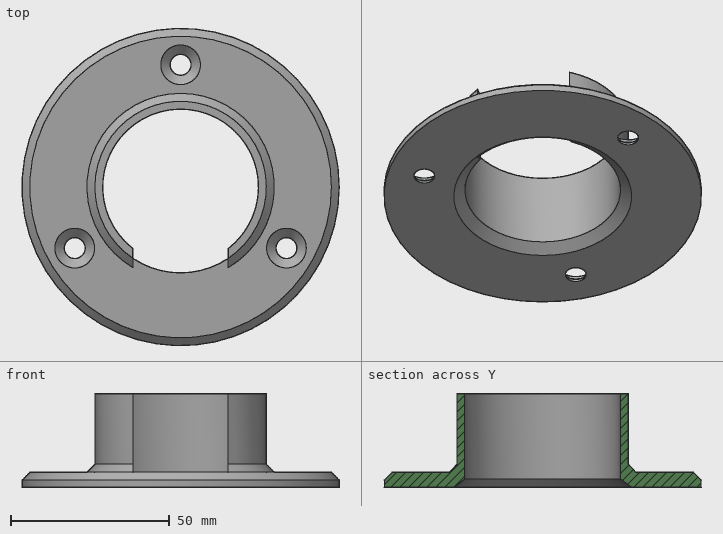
import math

import cadquery as cq

flange_diameter = 100.0
flange_thickness = 4.8
edge_chamfer = 2.5

tube_outer_diameter = 54.0
tube_wall = 2.5
tube_height = 24.7
collar_size = 2.5
slot_width = 30.0

screw_count = 3
first_screw_angle = 90.0
screw_hole_diameter = 6.5
countersink_diameter = 12.5
countersink_recess = 1.0

relief_depth = 2.6
relief_diameter = 56.0

flange_radius = flange_diameter / 2
tube_outer_radius = tube_outer_diameter / 2
tube_inner_radius = tube_outer_radius - tube_wall
total_height = flange_thickness + tube_height
screw_circle_radius = (flange_radius + tube_outer_radius) / 2


def revolve_profile(points):
    """Revolve a closed (radius, height) outline about the Z axis."""
    return cq.Workplane("XZ").polyline(points).close().revolve(360, (0, 0), (0, 1))


def make_flange():
    """Flat ring with a chamfered top rim, bored to the tube outer diameter."""
    return revolve_profile([
        (tube_outer_radius, 0),
        (flange_radius, 0),
        (flange_radius, flange_thickness - edge_chamfer),
        (flange_radius - edge_chamfer, flange_thickness),
        (tube_outer_radius, flange_thickness),
    ])


def make_socket():
    """Tube with a conical collar, slotted on the -Y side."""
    socket = revolve_profile([
        (tube_outer_radius, 0),
        (tube_inner_radius, 0),
        (tube_inner_radius, total_height),
        (tube_outer_radius, total_height),
        (tube_outer_radius, flange_thickness + collar_size),
        (tube_outer_radius + collar_size, flange_thickness),
        (tube_outer_radius, flange_thickness),
    ])
    slot = cq.Workplane("XY").box(
        slot_width, flange_radius, total_height, centered=(True, False, False)
    ).translate((0, -flange_radius, 0))
    return socket.cut(slot)


def make_relief_cutter():
    """Cone that widens the bore towards the bottom face."""
    return revolve_profile([
        (0, 0),
        (relief_diameter / 2, 0),
        (tube_inner_radius, relief_depth),
        (0, relief_depth),
    ])


def make_screw_cutter():
    """Through hole, 90 degree countersink and shallow cylindrical recess for one screw."""
    hole_radius = screw_hole_diameter / 2
    head_radius = countersink_diameter / 2
    cone_top = flange_thickness - countersink_recess
    cone_bottom = cone_top - (head_radius - hole_radius)
    return revolve_profile([
        (0, 0),
        (hole_radius, 0),
        (hole_radius, cone_bottom),
        (head_radius, cone_top),
        (head_radius, flange_thickness),
        (0, flange_thickness),
    ])


result = make_flange().union(make_socket()).cut(make_relief_cutter())

for index in range(screw_count):
    angle = math.radians(first_screw_angle + index * 360 / screw_count)
    offset = (screw_circle_radius * math.cos(angle), screw_circle_radius * math.sin(angle), 0)
    result = result.cut(make_screw_cutter().translate(offset))